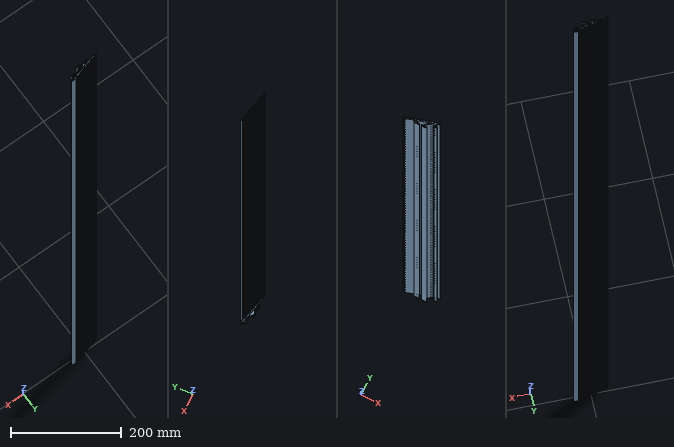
import cadquery as cq
import math

width = 67.0
height = 17.79
length = 1524.0

slope = math.radians(15.5)
tooth_count = 28
tooth_pitch = 2.2
tooth_height = tooth_pitch / 2
toe_width = 7.0
lip_thickness = 2.4
lip_corner = 1.5

foot_thickness = 2.0
foot_corner = 1.0
leg_thickness = 1.5
ground_foot_width = 10.8
middle_foot_start = 21.2
inner_foot_start = 36.0
raised_foot_start = 56.8
raised_foot_width = 6.9
raised_foot_level = 8.3
brace_angle = math.radians(39)
brace_start = 36.6
brace_rise = 13.0
leg_embed = 1.0


def underside(x):
    """Height of the deck's lower face at x."""
    return (x - toe_width) * math.tan(slope)


def extrude(outline):
    return outline.close().extrude(length)


def make_deck():
    tooth_run = tooth_pitch * math.cos(slope)
    tooth_rise = tooth_pitch * math.sin(slope)
    tip_offset_x = -tooth_height * math.sin(slope)
    tip_offset_y = tooth_height * math.cos(slope)
    edge_height = height - tip_offset_y - (tooth_count - 0.5) * tooth_rise
    lip_bottom = height - lip_thickness
    lip_start = toe_width + lip_bottom / math.tan(slope)

    outline = cq.Workplane("XY").moveTo(0, 0).lineTo(0, edge_height)
    for i in range(tooth_count):
        if i > 0:
            outline = outline.lineTo(i * tooth_run, edge_height + i * tooth_rise)
        outline = outline.lineTo(
            (i + 0.5) * tooth_run + tip_offset_x,
            edge_height + (i + 0.5) * tooth_rise + tip_offset_y,
        )
    outline = outline.lineTo(width, height).lineTo(width, lip_bottom)
    deck = extrude(outline.lineTo(lip_start, lip_bottom).lineTo(toe_width, 0))
    return deck.faces(">X").edges(">Y").fillet(lip_corner)


def make_foot(start, foot_width, level):
    """Flat foot with both lower corners rounded."""
    block = cq.Workplane("XY").box(foot_width, foot_thickness, length, centered=False)
    return block.edges("|Z and <Y").fillet(foot_corner).translate((start, level, 0))


def make_upright_leg(center, level):
    """Vertical leg from a foot up into the deck."""
    left = center - leg_thickness / 2
    base = level + foot_thickness / 2
    leg_height = underside(center) + leg_embed - base
    leg = cq.Workplane("XY").box(leg_thickness, leg_height, length, centered=False)
    return leg.translate((left, base, 0))


def make_brace():
    """Inclined leg from the inner foot up into the deck."""
    base = foot_thickness / 2
    run = brace_rise / math.tan(brace_angle)
    span = leg_thickness / math.sin(brace_angle)
    outline = cq.Workplane("XY").moveTo(brace_start, base).lineTo(brace_start + span, base)
    outline = outline.lineTo(brace_start + span + run, base + brace_rise)
    return extrude(outline.lineTo(brace_start + run, base + brace_rise))


result = make_deck()
for start, foot_width, level in (
    (middle_foot_start, ground_foot_width, 0),
    (raised_foot_start, raised_foot_width, raised_foot_level),
):
    result = result.union(make_foot(start, foot_width, level))
    result = result.union(make_upright_leg(start + foot_width / 2, level))
result = result.union(make_foot(inner_foot_start, ground_foot_width, 0))
result = result.union(make_brace())